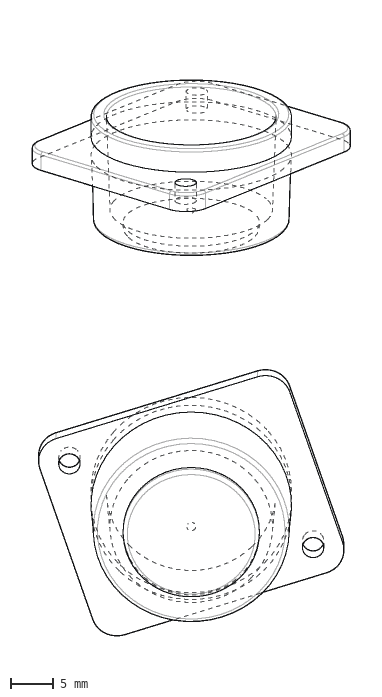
import cadquery as cq

flange_width = 26.0
flange_length = 31.0
flange_thickness = 2.25
flange_corner_radius = 3.0
flange_edge_fillet = 0.3

total_height = 14.6
collar_height = 2.85
collar_diameter = 23.62
rim_fillet = 0.3
body_bottom_diameter = 23.05
body_edge_fillet = 0.5

boss_diameter = 16.05
boss_height = 1.02
boss_edge_fillet = 0.5

bore_depth = 12.0
bore_mouth_diameter = 20.03
bore_floor_diameter = 19.15

dimple_diameter = 1.05
dimple_depth = 0.53

hole_diameter = 2.5
hole_offset_x = 9.5
hole_offset_y = 12.0

body_bottom_z = boss_height
flange_top_z = total_height - collar_height
flange_bottom_z = flange_top_z - flange_thickness
bore_floor_z = total_height - bore_depth


def cone_frustum(bottom_z, top_z, bottom_diameter, top_diameter):
    """Round solid on the Z axis whose diameter changes evenly with height."""
    profile = (
        cq.Workplane("XZ")
        .moveTo(0, bottom_z)
        .lineTo(bottom_diameter / 2, bottom_z)
        .lineTo(top_diameter / 2, top_z)
        .lineTo(0, top_z)
        .close()
    )
    return profile.revolve(360, (0, 0, 0), (0, 1, 0))


def make_flange():
    return (
        cq.Workplane("XY")
        .workplane(offset=flange_bottom_z)
        .rect(flange_width, flange_length)
        .extrude(flange_thickness)
        .edges("|Z")
        .fillet(flange_corner_radius)
        .faces(">Z")
        .edges()
        .fillet(flange_edge_fillet)
    )


def make_collar():
    return cone_frustum(flange_bottom_z, total_height, collar_diameter, collar_diameter)


def make_body():
    body = cone_frustum(body_bottom_z, flange_bottom_z, body_bottom_diameter, collar_diameter)
    return body.faces("<Z").edges().fillet(body_edge_fillet)


def make_boss():
    boss = cone_frustum(0, body_bottom_z, boss_diameter, boss_diameter)
    return boss.faces("<Z").edges().fillet(boss_edge_fillet)


def make_bore():
    bore = cone_frustum(bore_floor_z, total_height, bore_floor_diameter, bore_mouth_diameter)
    dimple = (
        cq.Workplane("XZ")
        .moveTo(0, bore_floor_z)
        .lineTo(dimple_diameter / 2, bore_floor_z)
        .lineTo(0, bore_floor_z - dimple_depth)
        .close()
        .revolve(360, (0, 0, 0), (0, 1, 0))
    )
    return bore.union(dimple)


def make_mounting_holes():
    return (
        cq.Workplane("XY")
        .workplane(offset=flange_bottom_z)
        .pushPoints([(-hole_offset_x, hole_offset_y), (hole_offset_x, -hole_offset_y)])
        .circle(hole_diameter / 2)
        .extrude(flange_thickness)
    )


housing = make_flange().union(make_collar()).union(make_body()).union(make_boss())
housing = housing.cut(make_bore()).cut(make_mounting_holes())

result = housing.faces(">Z").edges().fillet(rim_fillet)